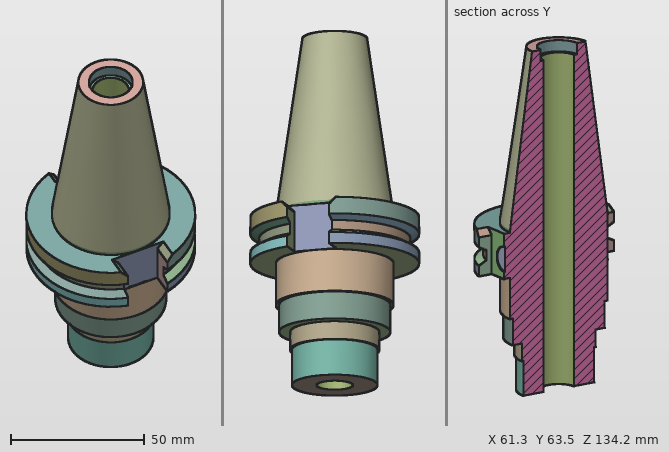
import cadquery as cq

total_height = 134.2

nose_steps = [
    (16.1, 13.7),
    (16.8, 20.5),
    (21.0, 31.0),
    (22.2, 47.1),
]

flange_radius = 31.75
flange_bottom = nose_steps[-1][1]
flange_top = 65.0
groove_floor_radius = 28.5
groove_bottom = 51.3
groove_top = 58.5
groove_side_rise = 1.7

taper_base_radius = nose_steps[-1][0]
taper_base_height = 66.2
taper_tip_radius = 12.2

bore_radius = 6.8
counterbore_radius = 8.2
counterbore_depth = 4.4

slot_half_width = 8.25
slot_chamfer = 2.5
deep_slot_floor = 22.3
shallow_slot_floor = 24.8

dimple_radius = 4.8
dimple_height = 54.9
dimple_depth = 0.3


def make_body():
    """Revolve the outer profile of nose, flange and taper about Z."""
    profile = [(0, 0)]
    step_bottom = 0
    for radius, step_top in nose_steps:
        profile += [(radius, step_bottom), (radius, step_top)]
        step_bottom = step_top
    profile += [
        (flange_radius, flange_bottom),
        (flange_radius, groove_bottom),
        (groove_floor_radius, groove_bottom + groove_side_rise),
        (groove_floor_radius, groove_top - groove_side_rise),
        (flange_radius, groove_top),
        (flange_radius, flange_top),
        (taper_base_radius, flange_top),
        (taper_base_radius, taper_base_height),
        (taper_tip_radius, total_height),
        (0, total_height),
    ]
    return cq.Workplane("XZ").polyline(profile).close().revolve(360, (0, 0), (0, 1))


def make_bore():
    """Through bore with a wider mouth at the taper tip."""
    bore = cq.Workplane("XY").circle(bore_radius).extrude(total_height)
    counterbore = (
        cq.Workplane("XY", origin=(0, 0, total_height - counterbore_depth))
        .circle(counterbore_radius)
        .extrude(counterbore_depth)
    )
    return bore.union(counterbore)


def make_slot(floor_x, outer_x):
    """Slot across the flange height, chamfered along its upper edges."""
    mouth_half_width = slot_half_width + slot_chamfer
    outline = [
        (-slot_half_width, flange_bottom),
        (slot_half_width, flange_bottom),
        (slot_half_width, flange_top - slot_chamfer),
        (mouth_half_width, flange_top),
        (-mouth_half_width, flange_top),
        (-slot_half_width, flange_top - slot_chamfer),
    ]
    return (
        cq.Workplane("YZ", origin=(floor_x, 0, 0))
        .polyline(outline)
        .close()
        .extrude(outer_x - floor_x)
    )


def make_dimple():
    """Shallow round recess in the floor of the slot on the -X side."""
    return (
        cq.Workplane("YZ", origin=(-shallow_slot_floor, 0, dimple_height))
        .circle(dimple_radius)
        .extrude(dimple_depth)
    )


result = (
    make_body()
    .cut(make_bore())
    .cut(make_slot(deep_slot_floor, flange_radius))
    .cut(make_slot(-shallow_slot_floor, -flange_radius))
    .cut(make_dimple())
)